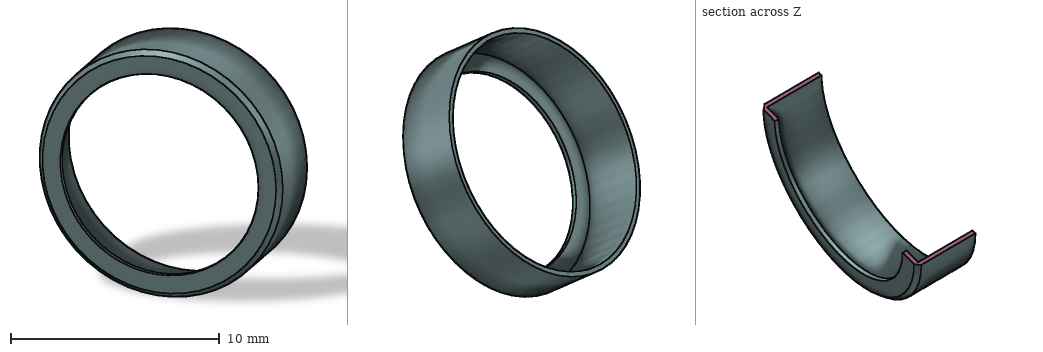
import cadquery as cq

outer_diameter = 12.47
lip_diameter = 10.15
wall = 0.25
width = 3.5
chamfer = 0.25

outer_radius = outer_diameter / 2
lip_radius = lip_diameter / 2
sleeve_bore_radius = outer_radius - wall
front = -width / 2
back = width / 2

section = [
    (lip_radius, front),
    (outer_radius - chamfer, front),
    (outer_radius, front + chamfer),
    (outer_radius, back),
    (sleeve_bore_radius, back),
    (sleeve_bore_radius, front + wall),
    (lip_radius, front + wall),
]

result = cq.Workplane("XY").polyline(section).close().revolve(360, (0, 0), (0, 1))